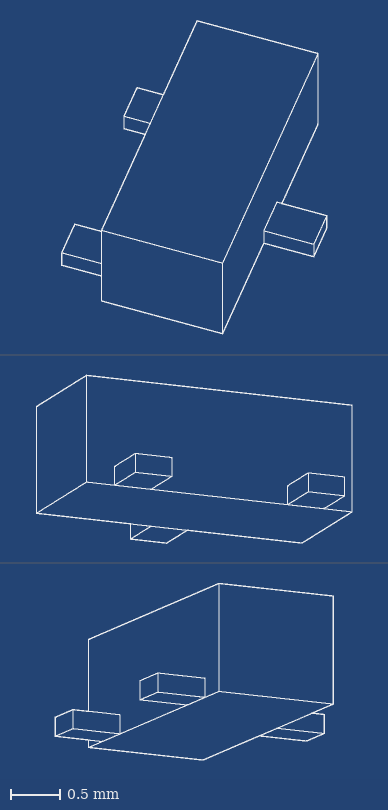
import cadquery as cq

body_width = 1.3
body_length = 2.92
body_height = 1.12

lead_span = 2.37
lead_width = 0.4
lead_thickness = 0.2
lead_pitch = 1.9
lead_length = (lead_span - body_width) / 2

LEFT = -1
RIGHT = 1


def make_body():
    """Plain rectangular package standing on Z = 0, centred in X and Y."""
    return cq.Workplane("XY").box(
        body_width, body_length, body_height, centered=(True, True, False)
    )


def make_lead(side, y_center):
    """Flat lead that butts against one long side of the body, flush with its bottom."""
    x_center = side * (body_width + lead_length) / 2
    return (
        cq.Workplane("XY")
        .box(lead_length, lead_width, lead_thickness, centered=(True, True, False))
        .translate((x_center, y_center, 0))
    )


lead_places = [
    (LEFT, -lead_pitch / 2),
    (LEFT, lead_pitch / 2),
    (RIGHT, 0),
]

body = make_body()
leads = [make_lead(side, y_center) for side, y_center in lead_places]

result = cq.Compound.makeCompound([body.val(), *[lead.val() for lead in leads]])